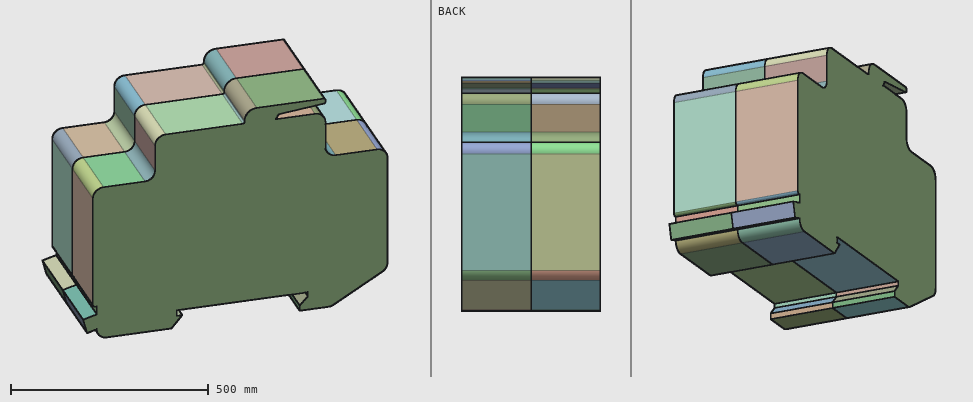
import cadquery as cq
import math

module_count = 2
module_width = 350.0 / module_count

depth = 779.0
shelf_z = 426.0
neck_front_y = 164.0
neck_back_y = 615.0
neck_top_z = 551.0
outer_radius = 28.0
inner_radius = 26.5

slope_angle = math.radians(30)
slope_foot_y = 629.5
slope_top_z = (depth - slope_foot_y) * math.tan(slope_angle)

latch_top_z = 590.0
latch_front_y = 401.0
latch_tip_z = 576.0
latch_root_y = 484.0
latch_bend_y = 491.0
latch_bend_z = 563.5
latch_front_radius = 32.0
latch_base_radius = 5.0
latch_tip_radius = 6.0

recess_z = 49.0
recess_front_y = 222.0
recess_back_y = 568.0
front_hook_y = 237.0
front_hook_z = 34.0
front_hook_base_y = 208.0
back_hook_y = 546.5
back_hook_top_z = 38.0
back_hook_lip_z = 15.0

setback_y = 10.5
setback_top_z = 91.0
setback_lip_radius = 7.0
base_front_radius = 26.0
tab_angle = math.radians(15)
tab_thickness = 41.0
tab_tip_y = -26.0
tab_root_z = 69.0
tab_tip_z = tab_root_z - (setback_y - tab_tip_y) * math.tan(tab_angle)
tab_lower_y = tab_tip_y + tab_thickness * math.sin(tab_angle)
tab_lower_z = tab_tip_z - tab_thickness * math.cos(tab_angle)
tab_lower_root_z = tab_lower_z + (setback_y - tab_lower_y) * math.tan(tab_angle)


def round_corners(body, radius, corners):
    """Round the X-direction edges that pass through the given (Y, Z) corners."""
    for y, z in corners:
        edge = cq.selectors.NearestToPointSelector((module_width / 2, y, z))
        body = body.edges("|X").edges(edge).fillet(radius)
    return body


def make_module():
    """One module: a constant profile extruded along X, with rounded corners."""
    front_wall = [(0, setback_top_z), (0, shelf_z), (neck_front_y, shelf_z), (neck_front_y, neck_top_z)]
    latch = [
        (latch_front_y, neck_top_z),
        (latch_front_y, latch_top_z),
        (neck_back_y, latch_top_z),
        (neck_back_y, latch_tip_z),
        (latch_bend_y, latch_bend_z),
        (latch_root_y, neck_top_z),
    ]
    back_wall = [
        (neck_back_y, neck_top_z),
        (neck_back_y, shelf_z),
        (depth, shelf_z),
        (depth, slope_top_z),
        (slope_foot_y, 0),
    ]
    rail_recess = [
        (back_hook_y, 0),
        (back_hook_y, back_hook_lip_z),
        (recess_back_y, back_hook_top_z),
        (recess_back_y, recess_z),
        (recess_front_y, recess_z),
        (recess_front_y, front_hook_z),
        (front_hook_y, front_hook_z),
        (front_hook_base_y, 0),
    ]
    release_tab = [
        (setback_y, 0),
        (setback_y, tab_lower_root_z),
        (tab_lower_y, tab_lower_z),
        (tab_tip_y, tab_tip_z),
        (setback_y, tab_root_z),
        (setback_y, setback_top_z),
    ]
    outline = front_wall + latch + back_wall + rail_recess + release_tab
    body = cq.Workplane("YZ").polyline(outline).close().extrude(module_width)

    body = round_corners(body, outer_radius, [
        (0, shelf_z),
        (neck_front_y, neck_top_z),
        (neck_back_y, neck_top_z),
        (depth, shelf_z),
        (depth, slope_top_z),
        (slope_foot_y, 0),
    ])
    body = round_corners(body, inner_radius, [(neck_front_y, shelf_z), (neck_back_y, shelf_z)])
    body = round_corners(body, latch_front_radius, [(latch_front_y, latch_top_z)])
    body = round_corners(body, latch_base_radius, [(latch_front_y, neck_top_z)])
    body = round_corners(body, latch_tip_radius, [
        (neck_back_y, latch_top_z),
        (neck_back_y, latch_tip_z),
        (latch_bend_y, latch_bend_z),
    ])
    body = round_corners(body, base_front_radius, [(setback_y, 0)])
    return round_corners(body, setback_lip_radius, [(0, setback_top_z)])


modules = []
for index in range(module_count):
    module = make_module().translate((index * module_width, 0, 0))
    modules.append(module.val())

result = cq.Compound.makeCompound(modules)